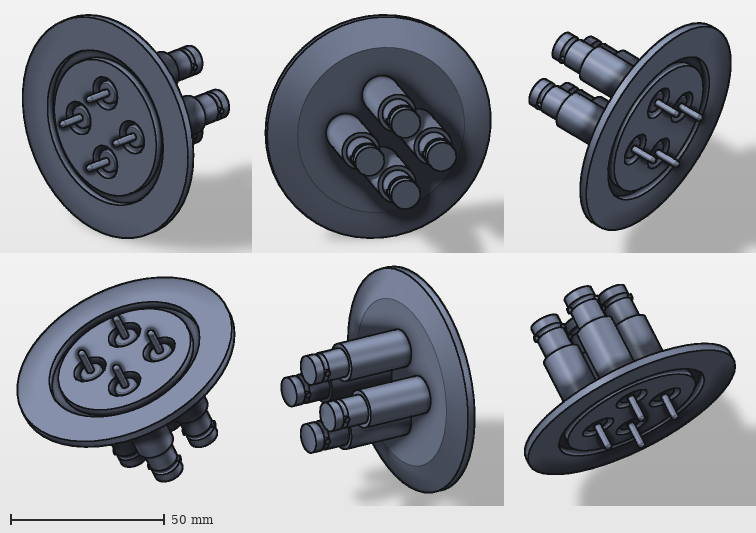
import cadquery as cq
import math

flange_radius = 37.5
flange_thickness = 5.2
rim_thickness = 2.6
bevel_angle = math.radians(15)
groove_outer_radius = 26.2
groove_inner_radius = 23.1
groove_depth = 2.6

connector_offset = 12.1
connector_count = 4
body_radius = 6.3
body_end = 28.0
barrel_radius = 4.83
barrel_end = 40.7

barrel_groove_center = 36.6
barrel_groove_width = 1.8
barrel_groove_depth = 0.7
lug_radius = 0.9
lug_span = 10.95

socket_radius = 5.55
taper_end_radius = 4.4
taper_start = 6.0
taper_length = 0.7
insulator_radius = 3.8
insulator_recess = 0.75
insulator_rounding = 0.5
pin_radius = 1.2
pin_length = 8.5


def revolve_about_y(profile):
    """Turn a closed XY profile, with x as the radius, about the Y axis."""
    return profile.close().revolve(360, (0, 0, 0), (0, 1, 0))


def make_flange():
    bevel_width = (flange_thickness - rim_thickness) / math.tan(bevel_angle)
    return revolve_about_y(
        cq.Workplane("XY")
        .lineTo(groove_inner_radius, 0)
        .lineTo(groove_inner_radius, groove_depth)
        .lineTo(groove_outer_radius, groove_depth)
        .lineTo(groove_outer_radius, 0)
        .lineTo(flange_radius, 0)
        .lineTo(flange_radius, rim_thickness)
        .lineTo(flange_radius - bevel_width, flange_thickness)
        .lineTo(0, flange_thickness)
    )


def make_connector_body():
    groove_start = barrel_groove_center - barrel_groove_width / 2
    groove_end = barrel_groove_center + barrel_groove_width / 2
    groove_bottom = (barrel_radius - barrel_groove_depth, barrel_groove_center)
    body = revolve_about_y(
        cq.Workplane("XY")
        .moveTo(0, rim_thickness)
        .lineTo(body_radius, rim_thickness)
        .lineTo(body_radius, body_end)
        .lineTo(barrel_radius, body_end)
        .lineTo(barrel_radius, groove_start)
        .threePointArc(groove_bottom, (barrel_radius, groove_end))
        .lineTo(barrel_radius, barrel_end)
        .lineTo(0, barrel_end)
    )
    lugs = (
        cq.Workplane("YZ")
        .center(barrel_groove_center, 0)
        .circle(lug_radius)
        .extrude(lug_span / 2, both=True)
    )
    return body.union(lugs)


def make_socket():
    taper_end = taper_start + taper_length
    trough_rounding = taper_end_radius - insulator_radius
    trough_bottom = taper_end + trough_rounding
    trough_middle = (
        insulator_radius + trough_rounding * math.cos(math.pi / 4),
        taper_end + trough_rounding * math.sin(math.pi / 4),
    )
    return revolve_about_y(
        cq.Workplane("XY")
        .lineTo(socket_radius, 0)
        .lineTo(socket_radius, taper_start)
        .lineTo(taper_end_radius, taper_end)
        .threePointArc(trough_middle, (insulator_radius, trough_bottom))
        .lineTo(0, trough_bottom)
    )


def make_insulator_and_pin():
    insulator = (
        cq.Workplane("XZ", origin=(0, body_end, 0))
        .circle(insulator_radius)
        .extrude(body_end - insulator_recess)
        .faces("<Y")
        .edges()
        .fillet(insulator_rounding)
    )
    pin = revolve_about_y(
        cq.Workplane("XY")
        .moveTo(0, body_end)
        .lineTo(pin_radius, body_end)
        .lineTo(pin_radius, pin_radius - pin_length)
        .radiusArc((0, -pin_length), pin_radius)
    )
    return insulator.union(pin)


connector_body = make_connector_body()
socket = make_socket()
insulator_and_pin = make_insulator_and_pin()

result = make_flange()
for index in range(connector_count):
    angle = index * math.tau / connector_count
    center = (connector_offset * math.cos(angle), 0, connector_offset * math.sin(angle))
    result = (
        result.union(connector_body.translate(center))
        .cut(socket.translate(center))
        .union(insulator_and_pin.translate(center))
    )